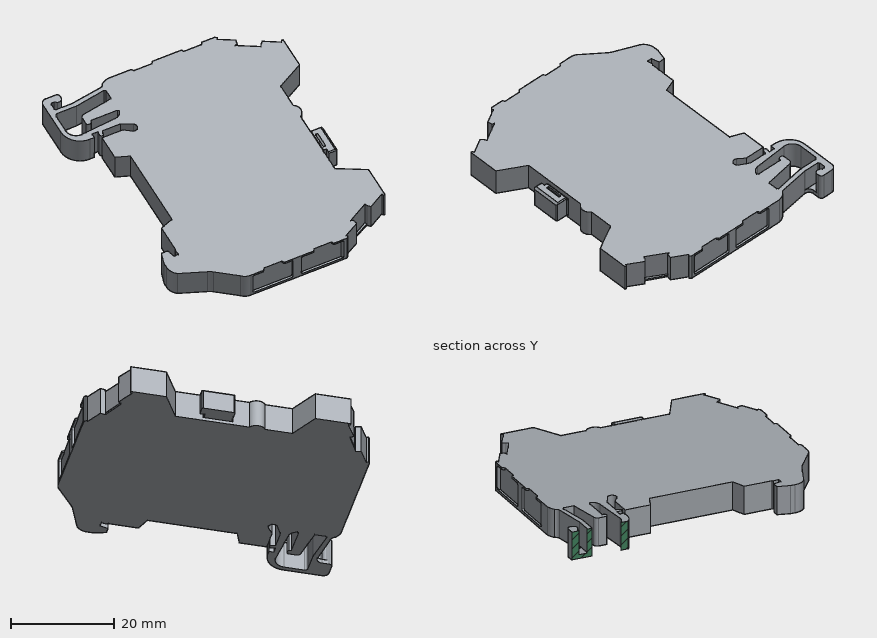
import cadquery as cq
thickness = 6.0
height = 49.05
side_x = 28.5
hook_x = -29.3

deck_y = 43.3
bump_half = 1.55
bump_x = -4.7
bump_rise = 0.85

notch_floor = 0.4
notch_outer_top = (22.85, 44.65)
notch_inner_top = (22.4, 44.4)
notch_inner_low = (24.85, 40.1)
notch_outer_low = (25.0, 40.6)

pocket_depth = 0.49
pocket_z = (0.55, 5.58)
pocket_corner = 0.35
pocket_spans = [(27.6, 36.8), (17.05, 25.75)]
mouth_spans = [(30.55, 34.35), (19.65, 23.6)]
mouth_flare = 0.3
end_slope = 0.4

foot_y = 6.5
rail_y = 9.3
rail_half = 8.95
rail_foot_half = 10.05
foot_bottom = 2.9

web_height = 0.9
leg_x = -25.95
leg_kink_y = 5.2

clip_x = (0.45, 7.05)
clip_neck_x = 6.0
clip_top_y = 46.25
clip_step_y = 44.35
clip_chamfer = 0.45
clip_corner = 0.25
clip_z = (0.7, 5.3)
clip_base_x = (0.26, 6.15)
clip_base_height = 0.4
clip_root = 0.6
clip_slot_x = (1.75, 5.2)
clip_slot_y = (44.05, 44.6)
clip_slot_depth = 0.5


def mirror_x(points):
    return [(-x, y) for x, y in points]


def prism(points, bottom, top):
    return cq.Workplane("XY").workplane(offset=bottom).polyline(points).close().extrude(top - bottom)


def box(x_span, y_span, z_span):
    spans = (x_span, y_span, z_span)
    size = [max(s) - min(s) for s in spans]
    corner = [min(s) for s in spans]
    return cq.Workplane("XY").box(*size, centered=False).translate(tuple(corner))


shoulder = [
    (11.7, deck_y),
    (14.85, height),
    (22.0, height),
    (22.0, 48.65),
    (21.55, 48.5),
    (23.5, 45.2),
    notch_outer_top,
    notch_outer_low,
    (26.0, 40.8),
    (27.8, 37.65),
    (28.15, 37.9),
    (side_x, 37.5),
]


def make_housing():
    outline = (
        cq.Workplane("XY")
        .moveTo(bump_x - bump_half, deck_y)
        .threePointArc((bump_x, deck_y + bump_rise), (bump_x + bump_half, deck_y))
    )
    for point in shoulder:
        outline = outline.lineTo(*point)
    outline = (
        outline.lineTo(side_x, 16.6)
        .threePointArc((28.35, 15.6), (27.75, 14.75))
        .lineTo(24.5, 10.5)
        .threePointArc((24.2, 10.0), (23.95, 9.5))
        .lineTo(21.75, 4.1)
        .threePointArc((20.75, 3.25), (19.25, foot_bottom))
        .lineTo(18.35, foot_bottom)
        .lineTo(15.75, 3.6)
        .lineTo(15.75, 5.0)
        .lineTo(17.45, 5.45)
        .lineTo(17.45, foot_y)
        .lineTo(16.25, 6.3)
        .lineTo(16.1, foot_y)
    )
    outline = (
        outline.lineTo(rail_foot_half, foot_y)
        .lineTo(rail_half, rail_y)
        .lineTo(-rail_half, rail_y)
        .lineTo(-rail_foot_half, foot_y)
        .lineTo(-15.55, foot_y)
    )
    outline = (
        outline.lineTo(-15.55, 11.0)
        .lineTo(-14.4, 12.55)
        .threePointArc((-15.15, 13.9), (-15.95, 13.5))
        .lineTo(-17.1, 11.3)
        .lineTo(-17.1, 7.35)
        .lineTo(-16.1, 7.05)
        .threePointArc((-16.0, 6.7), (-16.4, 6.35))
        .lineTo(-17.3, foot_y)
        .lineTo(-17.3, 5.2)
        .lineTo(-16.3, 5.2)
    )
    outline = (
        outline.lineTo(-16.3, 4.2)
        .threePointArc((-17.5, 1.2), (-20.55, 0))
        .lineTo(-28.2, 0)
        .threePointArc((-29.0, 0.35), (hook_x, 1.1))
        .lineTo(hook_x, 3.25)
        .threePointArc((-29.1, 3.8), (-28.55, 4.0))
        .lineTo(-27.2, 4.0)
        .threePointArc((-26.35, 4.3), (leg_x, leg_kink_y))
    )
    outline = (
        outline.lineTo(-27.05, 11.95)
        .threePointArc((-27.3, 12.4), (-27.75, 12.65))
        .threePointArc((-28.2, 13.4), (-side_x, 14.3))
    )
    for point in reversed(mirror_x(shoulder)):
        outline = outline.lineTo(*point)
    return outline.close().extrude(thickness)


def make_spring_window():
    """Through window between the spring leg, the tongue and the foot."""
    return (
        cq.Workplane("XY")
        .moveTo(-25.85, 12.55)
        .lineTo(-23.65, 12.55)
        .lineTo(-22.5, 6.1)
        .threePointArc((-22.25, 5.55), (-21.8, 5.3))
        .lineTo(-20.05, 5.3)
        .threePointArc((-19.8, 5.8), (-20.0, 6.4))
        .lineTo(-20.5, 6.55)
        .lineTo(-20.5, 12.25)
        .lineTo(-20.2, 12.55)
        .threePointArc((-19.3, 12.1), (-18.8, 11.0))
        .lineTo(-18.1, 3.35)
        .threePointArc((-18.75, 1.7), (-20.35, 1.0))
        .lineTo(-24.4, 1.0)
        .threePointArc((-24.8, 1.15), (-25.0, 1.5))
        .lineTo(-25.0, 5.7)
        .lineTo(-26.15, 12.25)
        .close()
        .extrude(thickness)
    )


def make_hook_pocket():
    """Pocket between the pull hook and the spring leg, closed below by the web."""
    return (
        cq.Workplane("XY")
        .workplane(offset=web_height)
        .moveTo(-28.2, 4.0)
        .threePointArc((-27.5, 3.6), (-27.45, 2.85))
        .lineTo(-27.8, 2.25)
        .lineTo(-27.8, 1.85)
        .threePointArc((-27.75, 1.6), (-27.5, 1.5))
        .lineTo(-26.2, 1.5)
        .lineTo(leg_x, 1.75)
        .lineTo(leg_x, leg_kink_y)
        .lineTo(-28.2, leg_kink_y)
        .close()
        .extrude(thickness - web_height)
    )


def make_notch(side):
    points = [notch_outer_top, notch_inner_top, notch_inner_low, notch_outer_low]
    return prism([(side * x, y) for x, y in points], notch_floor, thickness)


def make_marker_pocket(side, pocket_span, mouth_span):
    """Shallow rounded pocket in a side wall with a flared mouth in the top edge."""
    floor_x = side * (side_x - pocket_depth)
    wall_x = side * side_x
    pocket = box((floor_x, wall_x), pocket_span, pocket_z).edges("|X").fillet(pocket_corner)
    low, high = mouth_span
    mouth = prism(
        [(floor_x, low), (floor_x, high), (wall_x, high + mouth_flare), (wall_x, low - mouth_flare)],
        pocket_z[1] - pocket_corner,
        thickness,
    )
    return pocket.union(mouth)


def make_pocket_ramp(side):
    """Wedge that slopes the +Y end of the upper marker pocket."""
    end = pocket_spans[0][1]
    floor_x = side * (side_x - pocket_depth)
    return prism([(floor_x, end), (floor_x, end - end_slope), (side * side_x, end)], *pocket_z)


def make_wedge(x_span, y_span, top, depth):
    """Wedge below the height top, deepest at its -Y end and running out at its +Y end."""
    low, high = y_span
    return (
        cq.Workplane("YZ")
        .workplane(offset=x_span[0])
        .polyline([(low, top), (high, top), (low, top - depth)])
        .close()
        .extrude(x_span[1] - x_span[0])
    )


def make_clip():
    head = prism(
        [
            (clip_x[0], deck_y - clip_root),
            (clip_x[0], clip_top_y),
            (clip_x[1], clip_top_y),
            (clip_x[1], clip_step_y),
            (clip_neck_x, clip_step_y),
            (clip_neck_x, deck_y - clip_root),
        ],
        *clip_z,
    )
    head = head.edges("|Z and >Y").chamfer(clip_corner)
    head = head.edges(">Y and >Z").chamfer(clip_chamfer)
    head = head.faces(">Z").edges("<X or >X").chamfer(clip_corner)
    root_y = deck_y - clip_root
    base_y = deck_y + clip_base_height
    bottom, top = clip_z
    base = box(clip_base_x, (root_y, base_y), (bottom, top - clip_base_height))
    base_slope = make_wedge(clip_x, (root_y, base_y), top, clip_root + clip_base_height)
    slot = make_wedge(clip_slot_x, clip_slot_y, top, clip_slot_depth)
    return head.cut(base_slope).union(base).cut(slot)


housing = make_housing().cut(make_spring_window()).cut(make_hook_pocket())
for side in (-1, 1):
    housing = housing.cut(make_notch(side))
    for pocket_span, mouth_span in zip(pocket_spans, mouth_spans):
        housing = housing.cut(make_marker_pocket(side, pocket_span, mouth_span))
    housing = housing.union(make_pocket_ramp(side))

result = housing.union(make_clip())